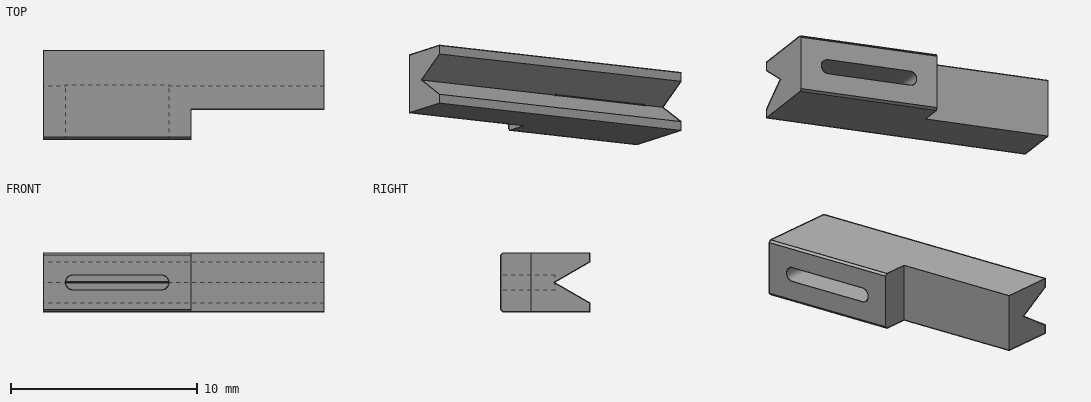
import cadquery as cq
import math

length = 15.09
depth = 4.78
height = 3.17

pad_length = 7.94
bar_depth = height
pad_edge_chamfer = 0.12

lip_height = 0.48
groove_angle = 60.0
groove_half_height = height / 2 - lip_height
groove_depth = groove_half_height / math.tan(math.radians(groove_angle / 2))

slot_length = 5.55
slot_width = 0.8
breakthrough = 0.05
slot_depth = depth - groove_depth + breakthrough


def make_body():
    """L-shaped block with its front face on Y = 0 and mid-height on Z = 0."""
    step_depth = depth - bar_depth
    outline = [
        (0, 0),
        (pad_length, 0),
        (pad_length, step_depth),
        (length, step_depth),
        (length, depth),
        (0, depth),
    ]
    block = cq.Workplane("XY").polyline(outline).close().extrude(height / 2, both=True)
    return block.faces("<Y").edges("|X").chamfer(pad_edge_chamfer)


def make_groove():
    """Triangular prism that cuts the V-groove, running along X."""
    profile = [
        (depth, -groove_half_height),
        (depth - groove_depth, 0),
        (depth, groove_half_height),
    ]
    return cq.Workplane("YZ").polyline(profile).close().extrude(length)


def make_slot():
    """Round-ended slot cutter, entering from the front face of the pad."""
    return (
        cq.Workplane("XZ")
        .center(pad_length / 2, 0)
        .slot2D(slot_length, slot_width)
        .extrude(-slot_depth)
    )


result = make_body().cut(make_groove()).cut(make_slot())